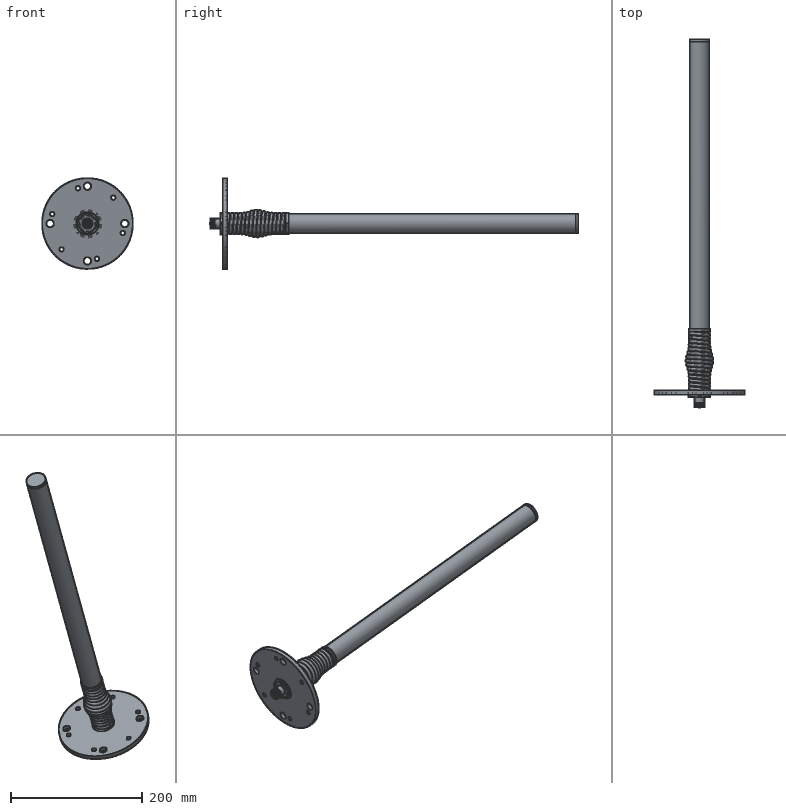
import cadquery as cq
import math


total_length = 562.9
plate_diameter = 139.0
plate_thickness = 7.0
bolt_circle_radius = 57.0
large_hole_diameter = 11.0
large_hole_count = 4
small_hole_circle_radius = 55.8
small_hole_diameter = 6.5
small_hole_count = 6
small_hole_start_angle = 45.0

base_diameter = 34.4

mast_diameter = 30.3
cap_length = 4.0
cap_step = 0.1
cap_diameter = mast_diameter - 2 * cap_step

ferrule_diameter = 33.0
ferrule_length = 4.8
core_diameter = 26.0

wire_diameter = 5.4
coil_pitch = 6.0
coil_turns = 15
end_coil_diameter = 27.8
coil_bulge = 4.9
bulge_spread = 13.5
coil_points_per_turn = 16
coil_embed = 2.5

flange_side = 26.5
flange_angle = 45.0
flange_diameter = 33.6
flange_thickness = 3.4
screw_count = 4
screw_circle_radius = 13.6
screw_recess_diameter = 4.2
screw_recess_depth = 1.0

thread_diameter = 15.9
thread_length = 7.2
thread_pitch = 1.06
thread_depth = 0.6
neck_diameter = 15.5
neck_length = 8.4
socket_diameter = 11.4
socket_depth = 8.0
insulator_diameter = 7.6
insulator_recess = 3.0
pin_diameter = 1.8
pin_projection = 1.0

flange_face = -flange_thickness
thread_start = flange_face - neck_length
connector_face = thread_start - thread_length
pin_tip = connector_face - pin_projection
mast_tip = pin_tip + total_length
coil_start = plate_thickness + wire_diameter / 2 - coil_embed
coil_end = coil_start + coil_turns * coil_pitch
coil_middle = (coil_start + coil_end) / 2
ferrule_start = coil_end - coil_embed / 2
ferrule_end = ferrule_start + ferrule_length


def cylinder(diameter, y_start, y_end):
    """Round bar on the Y axis between two stations."""
    return cq.Workplane("XZ", origin=(0, y_start, 0)).circle(diameter / 2).extrude(y_start - y_end)


def ring(outer_diameter, inner_diameter, y_start, y_end):
    """Round sleeve on the Y axis between two stations."""
    return cylinder(outer_diameter, y_start, y_end).cut(cylinder(inner_diameter, y_start, y_end))


def make_plate():
    """Round plate with a centre bore and two rings of through holes."""
    plate = ring(plate_diameter, base_diameter, 0, plate_thickness)
    large_holes = (
        cq.Workplane("XZ")
        .polarArray(bolt_circle_radius, 0, 360, large_hole_count)
        .circle(large_hole_diameter / 2)
        .extrude(-plate_thickness)
    )
    small_holes = (
        cq.Workplane("XZ")
        .polarArray(small_hole_circle_radius, small_hole_start_angle, 360, small_hole_count)
        .circle(small_hole_diameter / 2)
        .extrude(-plate_thickness)
    )
    return plate.cut(large_holes).cut(small_holes)


def coil_point(turn):
    """Centre of the spring wire after a number of turns; the coil swells at mid-length."""
    y = coil_start + turn * coil_pitch
    swell = coil_bulge * math.exp(-(((y - coil_middle) / bulge_spread) ** 2))
    radius = end_coil_diameter / 2 + swell
    angle = 2 * math.pi * turn
    return cq.Vector(radius * math.cos(angle), y, radius * math.sin(angle))


def make_spring():
    """Round wire swept along the swelling helix."""
    count = coil_turns * coil_points_per_turn
    points = [coil_point(i / coil_points_per_turn) for i in range(count + 1)]
    path = cq.Workplane(cq.Edge.makeSpline(points))
    start = cq.Plane(origin=points[0], xDir=(1, 0, 0), normal=points[1] - points[0])
    return cq.Workplane(start).circle(wire_diameter / 2).sweep(path, isFrenet=True)


def make_mast():
    """Straight round mast with a slightly smaller end cap."""
    mast = cylinder(mast_diameter, ferrule_start, mast_tip - cap_length)
    return mast.union(cylinder(cap_diameter, mast_tip - cap_length, mast_tip))


def make_connector():
    """Square flange on its corner, plain neck, threaded barrel, socket and centre pin."""
    flange = (
        cq.Workplane("XZ")
        .transformed(rotate=(0, 0, flange_angle))
        .rect(flange_side, flange_side)
        .extrude(flange_thickness)
        .intersect(cylinder(flange_diameter, flange_face, 0))
    )
    recesses = (
        cq.Workplane("XZ", origin=(0, flange_face, 0))
        .polarArray(screw_circle_radius, 0, 360, screw_count)
        .circle(screw_recess_diameter / 2)
        .extrude(-screw_recess_depth)
    )
    connector = flange.cut(recesses)
    connector = connector.union(cylinder(neck_diameter, thread_start, 0))
    connector = connector.union(cylinder(thread_diameter, connector_face, thread_start))
    for i in range(int(thread_length / thread_pitch)):
        groove_start = connector_face + (i + 0.5) * thread_pitch
        groove = ring(
            thread_diameter,
            thread_diameter - 2 * thread_depth,
            groove_start,
            groove_start + thread_pitch / 2,
        )
        connector = connector.cut(groove)
    socket_floor = connector_face + socket_depth
    connector = connector.cut(cylinder(socket_diameter, connector_face, socket_floor))
    connector = connector.union(
        cylinder(insulator_diameter, connector_face + insulator_recess, socket_floor)
    )
    return connector.union(cylinder(pin_diameter, pin_tip, socket_floor))


def make_antenna():
    """Connector, base plug, sprung section and mast as one solid."""
    base = cylinder(base_diameter, 0, plate_thickness)
    core = cylinder(core_diameter, plate_thickness, ferrule_start)
    ferrule = cylinder(ferrule_diameter, ferrule_start, ferrule_end)
    antenna = make_connector().union(base).union(core).union(ferrule).union(make_mast())
    above_plate = cylinder(plate_diameter, plate_thickness, mast_tip)
    return antenna.union(make_spring().intersect(above_plate))


plate = make_plate()
antenna = make_antenna()
result = cq.Compound.makeCompound([plate.val(), *antenna.vals()])